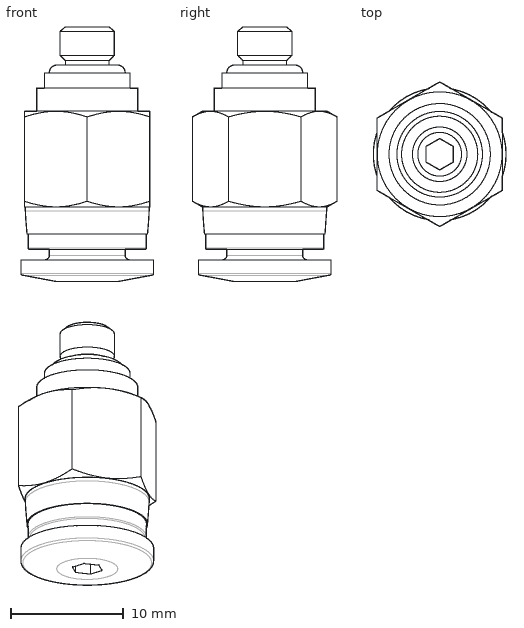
import cadquery as cq
import math

button_diameter = 11.8
button_flat_diameter = 5.42
button_cone_height = 0.56
button_edge_radius = 0.18
button_top = 1.95
stem_diameter = 6.75
stem_flare = 0.38

collar_bottom = 2.87
collar_diameter = 10.5
collar_edge_radius = 0.11
taper_bottom = 4.23
taper_bottom_diameter = 10.71
taper_middle_diameter = 10.9
taper_top = 6.28
taper_top_diameter = 11.0

hex_bottom = 6.62
hex_top = 15.12
hex_across_corners = 12.84
hex_across_flats = hex_across_corners * math.cos(math.radians(30))
hex_face_diameter = hex_across_flats - 0.05
hex_chamfer_angle = 30

shoulder_diameter = 9.0
shoulder_top = 17.15
seat_diameter = 7.6
seat_top = 18.5
neck_diameter = 3.89
ring_diameter = 6.75
thread_diameter = 4.84
thread_bottom = 19.6
thread_chamfer_height = 0.4
thread_relief_height = 0.47
total_height = 22.6

socket_across_flats = 2.4


def hex_prism(across_flats, bottom, top):
    across_corners = across_flats / math.cos(math.radians(30))
    prism = cq.Workplane("XY").polygon(6, across_corners).extrude(top - bottom)
    return prism.rotate((0, 0, 0), (0, 0, 1), 30).translate((0, 0, bottom))


def cylinder(diameter, bottom, top):
    return cq.Workplane("XY").workplane(offset=bottom).circle(diameter / 2).extrude(top - bottom)


def revolved(profile):
    return profile.close().revolve(360, (0, 0), (0, 1))


def make_button():
    rim = button_diameter / 2
    stem = stem_diameter / 2
    diagonal = stem_flare * (1 - math.sqrt(0.5))
    edge_inset = button_edge_radius * (1 - math.sqrt(0.5))
    profile = (
        cq.Workplane("XZ")
        .lineTo(button_flat_diameter / 2, 0)
        .lineTo(rim - button_edge_radius, button_cone_height)
        .threePointArc(
            (rim - edge_inset, button_cone_height + edge_inset),
            (rim, button_cone_height + button_edge_radius),
        )
        .lineTo(rim, button_top)
        .lineTo(stem + stem_flare, button_top)
        .threePointArc((stem + diagonal, button_top + diagonal), (stem, button_top + stem_flare))
        .lineTo(stem, collar_bottom)
        .lineTo(0, collar_bottom)
    )
    return revolved(profile)


def make_collar():
    lower_band = cylinder(collar_diameter, collar_bottom, taper_bottom)
    lower_band = lower_band.faces("<Z").edges().fillet(collar_edge_radius)
    profile = (
        cq.Workplane("XZ", origin=(0, 0, taper_bottom))
        .lineTo(taper_bottom_diameter / 2, 0)
        .threePointArc(
            (taper_middle_diameter / 2, (taper_top - taper_bottom) / 2),
            (taper_top_diameter / 2, taper_top - taper_bottom),
        )
        .lineTo(taper_top_diameter / 2, hex_bottom - taper_bottom)
        .lineTo(0, hex_bottom - taper_bottom)
    )
    return lower_band.union(revolved(profile))


def make_hex_body():
    face = hex_face_diameter / 2
    corner = hex_across_corners / 2
    drop = (corner - face) * math.tan(math.radians(hex_chamfer_angle))
    envelope = (
        cq.Workplane("XZ")
        .moveTo(0, hex_bottom)
        .lineTo(face, hex_bottom)
        .lineTo(corner, hex_bottom + drop)
        .lineTo(corner, hex_top - drop)
        .lineTo(face, hex_top)
        .lineTo(0, hex_top)
    )
    return hex_prism(hex_across_flats, hex_bottom, hex_top).intersect(revolved(envelope))


def make_seal_ring():
    section_radius = (ring_diameter - neck_diameter) / 4
    ring_radius = (ring_diameter + neck_diameter) / 4
    section = cq.Workplane("XZ").center(ring_radius, seat_top).circle(section_radius)
    return section.revolve(360, (-ring_radius, 0), (-ring_radius, 1))


def make_threaded_end():
    neck = neck_diameter / 2
    thread = thread_diameter / 2
    profile = (
        cq.Workplane("XZ")
        .moveTo(0, seat_top)
        .lineTo(neck, seat_top)
        .lineTo(neck, thread_bottom)
        .lineTo(thread, thread_bottom + thread_relief_height)
        .lineTo(thread, total_height - thread_chamfer_height)
        .lineTo(neck, total_height)
        .lineTo(0, total_height)
    )
    return revolved(profile)


result = (
    make_button()
    .union(make_collar())
    .union(make_hex_body())
    .union(cylinder(shoulder_diameter, hex_top, shoulder_top))
    .union(cylinder(seat_diameter, shoulder_top, seat_top))
    .union(make_seal_ring())
    .union(make_threaded_end())
    .cut(hex_prism(socket_across_flats, 0, total_height))
)